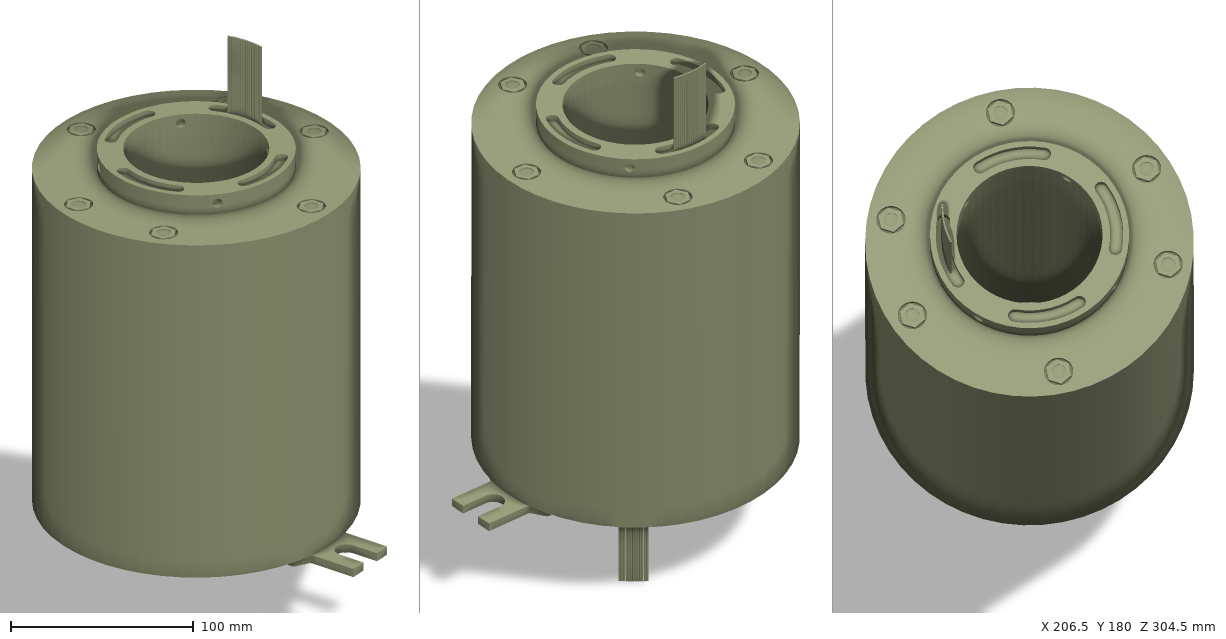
import cadquery as cq
import math

FULL_TURN = 360.0

BODY_DIAMETER = 180.0
BODY_HEIGHT = 206.5
BORE_DIAMETER = 80.0

FLANGE_DIAMETER = 109.0
FLANGE_HEIGHT = 12.0
FLANGE_TOP = BODY_HEIGHT + FLANGE_HEIGHT
ROTOR_TURN = 0.5

SLOT_COUNT = 4
SLOT_RADIUS = 47.75
SLOT_WIDTH = 7.2
SLOT_HALF_ANGLE = 22.3
SLOT_DEPTH = 4.0

SET_SCREW_COUNT = 4
SET_SCREW_DIAMETER = 5.5
SET_SCREW_DROP = 5.5
SET_SCREW_ANGLE = 47.4

NUT_CIRCLE_RADIUS = 77.0
NUT_ANGLES = (0.0, 68.3, 111.7, 180.0, 248.3, 291.7)
NUT_RECESS_DIAMETER = 16.0
NUT_RECESS_DEPTH = 2.0
NUT_SIDES = 6
NUT_ACROSS_FLATS = 12.5
NUT_CENTRE_DIAMETER = 8.0
NUT_CENTRE_DEPTH = 0.5

WIRE_DIAMETER = 1.2
WIRE_PITCH = 1.27
TOP_WIRE_COUNT = 18
TOP_WIRE_ANGLE = 90.0 + ROTOR_TURN
TOP_WIRE_LENGTH = 46.0
BOTTOM_WIRE_COUNT = 13
BOTTOM_WIRE_RADIUS = 82.5
BOTTOM_WIRE_ANGLE = 50.0
BOTTOM_WIRE_LENGTH = 40.0

BRACKET_THICKNESS = 5.0
BRACKET_INNER_X = 68.0
BRACKET_OUTER_X = 116.5
INNER_CORNER_Y = 18.5
EAR_LENGTH = 16.0
EAR_ANGLE = 30.0
NECK_HALF_WIDTH = 16.0
INNER_CORNER_FILLET = 3.5
EAR_FILLET = 3.4
NECK_FILLET = 2.0
FORK_WIDTH = 13.0
FORK_DEPTH = 22.5


def polar(radius, angle):
    """Point in the XY plane at a radius and an angle in degrees."""
    turn = math.radians(angle)
    return (radius * math.cos(turn), radius * math.sin(turn))


def make_housing():
    """Body and flange with the through bore."""
    body = cq.Workplane("XY").circle(BODY_DIAMETER / 2).extrude(BODY_HEIGHT)
    flange = cq.Workplane("XY").circle(FLANGE_DIAMETER / 2).extrude(FLANGE_TOP)
    bore = cq.Workplane("XY").circle(BORE_DIAMETER / 2).extrude(FLANGE_TOP)
    return body.union(flange).cut(bore)


def make_slot(mid_angle):
    """Round-ended arc slot centred on an angle, sunk from the flange top."""
    start = mid_angle - SLOT_HALF_ANGLE
    end = mid_angle + SLOT_HALF_ANGLE
    inner = SLOT_RADIUS - SLOT_WIDTH / 2
    outer = SLOT_RADIUS + SLOT_WIDTH / 2
    end_overhang = math.degrees(SLOT_WIDTH / 2 / SLOT_RADIUS)
    return (
        cq.Workplane("XY", origin=(0, 0, FLANGE_TOP - SLOT_DEPTH))
        .moveTo(*polar(inner, start))
        .threePointArc(polar(inner, mid_angle), polar(inner, end))
        .threePointArc(polar(SLOT_RADIUS, end + end_overhang), polar(outer, end))
        .threePointArc(polar(outer, mid_angle), polar(outer, start))
        .threePointArc(polar(SLOT_RADIUS, start - end_overhang), polar(inner, start))
        .close()
        .extrude(SLOT_DEPTH)
    )


def make_set_screw_hole(angle):
    """Radial hole from the bore out through the flange wall."""
    return (
        cq.Workplane("YZ", origin=(0, 0, FLANGE_TOP - SET_SCREW_DROP))
        .circle(SET_SCREW_DIAMETER / 2)
        .extrude(FLANGE_DIAMETER / 2 + SET_SCREW_DIAMETER)
        .rotate((0, 0, 0), (0, 0, 1), angle)
    )


def make_nut_recess(angle):
    """Ring around a hexagon nut, plus the shallow dimple at its centre."""
    x, y = polar(NUT_CIRCLE_RADIUS, angle)
    across_corners = NUT_ACROSS_FLATS / math.cos(math.pi / NUT_SIDES)
    ring = (
        cq.Workplane("XY", origin=(x, y, BODY_HEIGHT - NUT_RECESS_DEPTH))
        .circle(NUT_RECESS_DIAMETER / 2)
        .polygon(NUT_SIDES, across_corners)
        .extrude(NUT_RECESS_DEPTH)
    )
    dimple = (
        cq.Workplane("XY", origin=(x, y, BODY_HEIGHT - NUT_CENTRE_DEPTH))
        .circle(NUT_CENTRE_DIAMETER / 2)
        .extrude(NUT_CENTRE_DEPTH)
    )
    return ring.union(dimple)


def make_ribbon(count, radius, mid_angle, bottom, top):
    """Row of vertical wires spaced evenly along an arc."""
    step = math.degrees(WIRE_PITCH / radius)
    first = mid_angle - step * (count - 1) / 2
    centres = [polar(radius, first + step * index) for index in range(count)]
    return (
        cq.Workplane("XY", origin=(0, 0, bottom))
        .pushPoints(centres)
        .circle(WIRE_DIAMETER / 2)
        .extrude(top - bottom)
    )


def make_bracket():
    """Flat fork plate with two rounded ears, hung under the body."""
    slope = math.radians(EAR_ANGLE)
    ear_x = BRACKET_INNER_X + EAR_LENGTH * math.cos(slope)
    ear_y = INNER_CORNER_Y + EAR_LENGTH * math.sin(slope)
    neck_x = ear_x + (ear_y - NECK_HALF_WIDTH) * math.tan(slope)
    half_outline = [
        (BRACKET_INNER_X, INNER_CORNER_Y),
        (ear_x, ear_y),
        (neck_x, NECK_HALF_WIDTH),
        (BRACKET_OUTER_X, NECK_HALF_WIDTH),
    ]
    mirrored_half = [(x, -y) for x, y in reversed(half_outline)]
    plate = (
        cq.Workplane("XY", origin=(0, 0, -BRACKET_THICKNESS))
        .polyline(half_outline + mirrored_half)
        .close()
        .extrude(BRACKET_THICKNESS)
    )
    rounded_corners = (
        (BRACKET_INNER_X, INNER_CORNER_Y, INNER_CORNER_FILLET),
        (ear_x, ear_y, EAR_FILLET),
        (neck_x, NECK_HALF_WIDTH, NECK_FILLET),
    )
    middle = -BRACKET_THICKNESS / 2
    for x, y, radius in rounded_corners:
        for side in (1, -1):
            corner = cq.selectors.NearestToPointSelector((x, side * y, middle))
            plate = plate.edges("|Z").edges(corner).fillet(radius)

    fork_end_x = BRACKET_OUTER_X - FORK_DEPTH + FORK_WIDTH / 2
    fork_start = cq.Workplane("XY", origin=(fork_end_x, 0, -BRACKET_THICKNESS))
    round_end = fork_start.circle(FORK_WIDTH / 2).extrude(BRACKET_THICKNESS)
    straight_length = BRACKET_OUTER_X - fork_end_x
    straight = (
        fork_start.center(straight_length / 2, 0)
        .rect(straight_length, FORK_WIDTH)
        .extrude(BRACKET_THICKNESS)
    )
    return plate.cut(round_end).cut(straight)


result = make_housing()

for slot_index in range(SLOT_COUNT):
    result = result.cut(make_slot(ROTOR_TURN + slot_index * FULL_TURN / SLOT_COUNT))

for screw_index in range(SET_SCREW_COUNT):
    result = result.cut(make_set_screw_hole(SET_SCREW_ANGLE + screw_index * FULL_TURN / SET_SCREW_COUNT))

for nut_angle in NUT_ANGLES:
    result = result.cut(make_nut_recess(nut_angle))

top_ribbon = make_ribbon(
    TOP_WIRE_COUNT, SLOT_RADIUS, TOP_WIRE_ANGLE, FLANGE_TOP - SLOT_DEPTH, FLANGE_TOP + TOP_WIRE_LENGTH
)
bottom_ribbon = make_ribbon(
    BOTTOM_WIRE_COUNT, BOTTOM_WIRE_RADIUS, BOTTOM_WIRE_ANGLE, -BOTTOM_WIRE_LENGTH, 0
)
result = result.union(top_ribbon).union(bottom_ribbon).union(make_bracket())